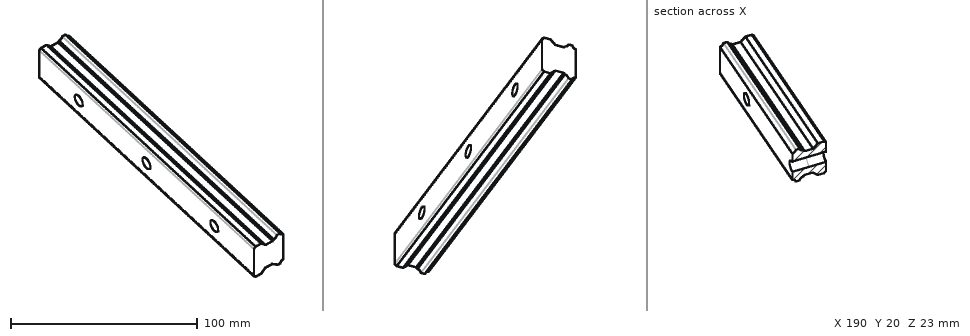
import cadquery as cq
import math

length = 190.0
width = 20.0
height = 23.0

hole_diameter = 7.0
hole_pitch = 60.0
hole_offsets = (-hole_pitch, 0.0, hole_pitch)

raceway_span = 2.05
raceway_sag = 0.45
lip_width = 2.4

waist_depth = 2.8
waist_base_y = -2.2

base_chamfer = 1.2

base_fillet = 0.6
lip_fillet = 0.35

half_width = width / 2
half_height = height / 2
waist_z = half_height - waist_depth
raceway_z = half_height - raceway_span
lip_outer_y = half_width - raceway_span
lip_inner_y = lip_outer_y - lip_width
raceway_inner_y = lip_inner_y - raceway_span
waist_head_y = raceway_inner_y - (raceway_z - waist_z)
base_shoulder_y = waist_base_y - waist_depth

sag_step = raceway_sag * math.sqrt(0.5)
raceway_mid_z = half_height - raceway_span / 2 - sag_step
outer_arc_mid_y = half_width - raceway_span / 2 - sag_step
inner_arc_mid_y = lip_inner_y - raceway_span / 2 + sag_step


def upper_half_body():
    """Half of the rail above Z = 0, extruded along X from the YZ profile."""
    return (
        cq.Workplane("YZ")
        .moveTo(-half_width, 0)
        .lineTo(-half_width, half_height - base_chamfer)
        .lineTo(-half_width + base_chamfer, half_height)
        .lineTo(base_shoulder_y, half_height)
        .lineTo(waist_base_y, waist_z)
        .lineTo(waist_head_y, waist_z)
        .lineTo(raceway_inner_y, raceway_z)
        .threePointArc((inner_arc_mid_y, raceway_mid_z), (lip_inner_y, half_height))
        .lineTo(lip_outer_y, half_height)
        .threePointArc((outer_arc_mid_y, raceway_mid_z), (half_width, raceway_z))
        .lineTo(half_width, 0)
        .close()
        .extrude(length / 2, both=True)
    )


def round_corner(body, y, z, radius):
    """Round the long edge of the body that runs along X through (y, z)."""
    edge = body.edges(cq.selectors.NearestToPointSelector((0, y, z)))
    return edge.fillet(radius)


def mounting_holes():
    """Row of cylinders along Y that cut the through holes."""
    return (
        cq.Workplane("XZ")
        .pushPoints([(x, 0) for x in hole_offsets])
        .circle(hole_diameter / 2)
        .extrude(half_width, both=True)
    )


upper = upper_half_body()
upper = round_corner(upper, -half_width, half_height - base_chamfer, base_fillet)
for lip_edge_y in (lip_inner_y, lip_outer_y):
    upper = round_corner(upper, lip_edge_y, half_height, lip_fillet)

rail = upper.union(upper.mirror("XY")).clean()
result = rail.cut(mounting_holes())